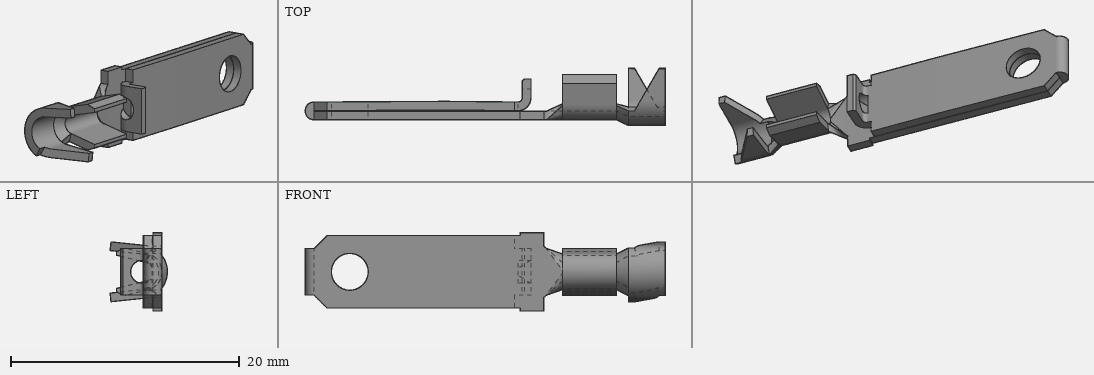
import cadquery as cq
import math

sheet = 0.78
layer_gap = 0.02
total_length = 31.5

blade_width = 6.35
tip_width = 4.08
shoulder_width = 6.86
shoulder_start_x = 18.8
shoulder_end_x = 20.88
back_end_x = 18.32
bow_x = 12.3
bow_gap = 0.08
fold_radius = sheet + layer_gap / 2
tip_chamfer = (blade_width - tip_width) / 2
tip_outline = [
    (fold_radius, tip_width / 2),
    (fold_radius + tip_chamfer, blade_width / 2),
]
hole_diameter = 3.2
hole_x = 3.91

lip_width = tip_width
lip_outer_x = 19.75
lip_tip_y = 3.6
lip_inner_radius = 0.36
lip_tip_chamfer = 0.2
lip_hole_radius = 1.0
lip_hole_y = 1.72

neck_end_x = 21.1
neck_start_width = 4.5
neck_end_width = 4.1
fold_corner = 0.04
crease_gap = 0.3

wire_start_x = 22.49
wire_end_x = 27.23
wire_radius = 1.62
wire_flare = 13.8
wire_center_y = wire_radius
wire_tip_y = 3.98
wire_bevel_y = 3.2
wire_tip_flat = 0.33

grip_start_x = 28.26
grip_radius = 2.34
grip_bottom_y = -0.49
grip_center_y = grip_bottom_y + grip_radius
grip_flare = 6.0
grip_tip_y = 4.54
grip_tip_drop = sheet * math.sin(math.radians(grip_flare))
grip_cut_angle = 26.7
grip_tip_length = 0.54


def polar(center_y, radius, below):
    """(z, y) of the point on a barrel circle that lies 'below' degrees under the +Z axis."""
    angle = math.radians(below)
    return radius * math.cos(angle), center_y - radius * math.sin(angle)


def mirrored(point):
    return -point[0], point[1]


def section(x):
    """Workplane across the terminal at x, with local axes (Z, Y)."""
    return cq.Workplane(cq.Plane(origin=(x, 0, 0), xDir=(0, 0, 1), normal=(-1, 0, 0)))


def trough_outline(x, center_y, radius, end_angle):
    """Section at x of a barrel wall whose ends lie end_angle degrees under the +Z axis."""
    inner_radius = radius - sheet
    outer_end = polar(center_y, radius, end_angle)
    inner_end = polar(center_y, inner_radius, end_angle)
    return (
        section(x)
        .moveTo(*outer_end)
        .threePointArc(polar(center_y, radius, 90), mirrored(outer_end))
        .lineTo(*mirrored(inner_end))
        .threePointArc(polar(center_y, inner_radius, 90), inner_end)
        .close()
    )


def plate(points, thickness):
    """Plate from its half outline in (x, z), reaching from Y = 0 toward +Y."""
    other_half = [(x, -z) for x, z in reversed(points)]
    return cq.Workplane("XZ").polyline(points + other_half).close().extrude(-thickness)


def front_layer():
    outline = [
        *tip_outline,
        (shoulder_start_x, blade_width / 2),
        (shoulder_start_x, shoulder_width / 2),
        (shoulder_end_x, shoulder_width / 2),
    ]
    return plate(outline, sheet)


def tip_fold():
    roll = (
        cq.Workplane("XY", origin=(fold_radius, fold_radius, -tip_width / 2))
        .circle(fold_radius)
        .circle(layer_gap / 2)
        .extrude(tip_width)
    )
    tip_side = cq.Workplane("XY").box(
        fold_radius, 2 * fold_radius, tip_width, centered=(False, False, True)
    )
    return roll.intersect(tip_side)


def back_layer():
    """Layer bowed slightly away from the front one, ending in a lip turned up toward +Y."""
    inner_y = sheet + layer_gap
    outer_y = inner_y + sheet
    bow_inner_y = sheet + bow_gap
    lip_outer_radius = lip_inner_radius + sheet
    lip_inner_x = lip_outer_x - sheet
    bend_x = lip_outer_x - lip_outer_radius
    bend_y = inner_y + lip_outer_radius
    outer_offset = lip_outer_radius * math.sqrt(0.5)
    inner_offset = lip_inner_radius * math.sqrt(0.5)
    strip = (
        cq.Workplane("XY", origin=(0, 0, -blade_width / 2))
        .moveTo(fold_radius, inner_y)
        .lineTo(bow_x, bow_inner_y)
        .lineTo(bend_x, inner_y)
        .threePointArc((bend_x + outer_offset, bend_y - outer_offset), (lip_outer_x, bend_y))
        .lineTo(lip_outer_x, lip_tip_y)
        .lineTo(lip_inner_x + lip_tip_chamfer, lip_tip_y)
        .lineTo(lip_inner_x, lip_tip_y - lip_tip_chamfer)
        .lineTo(lip_inner_x, bend_y)
        .threePointArc((bend_x + inner_offset, bend_y - inner_offset), (bend_x, outer_y))
        .lineTo(bow_x, bow_inner_y + sheet)
        .lineTo(fold_radius, outer_y)
        .close()
        .extrude(blade_width)
    )
    outline = [
        *tip_outline,
        (back_end_x, blade_width / 2),
        (back_end_x, lip_width / 2),
        (lip_outer_x, lip_width / 2),
    ]
    lip_hole = section(lip_outer_x).center(0, lip_hole_y).circle(lip_hole_radius).extrude(lip_outer_radius)
    return strip.intersect(plate(outline, lip_tip_y)).cut(lip_hole)


def blade():
    hole = cq.Workplane("XZ", origin=(hole_x, 0, 0)).circle(hole_diameter / 2).extrude(-lip_tip_y)
    return front_layer().union(tip_fold()).union(back_layer()).cut(hole)


def creased_trough_outline():
    """Start section of the wire barrel, with each arc broken by a short flat where the creases meet."""
    inner_radius = wire_radius - sheet
    outer_half_angle = math.degrees(math.asin(crease_gap / 2 / wire_radius))
    inner_half_angle = math.degrees(math.asin(crease_gap / 2 / inner_radius))
    mid_angle = (90 + wire_flare) / 2
    outer_end = polar(wire_center_y, wire_radius, wire_flare)
    outer_mid = polar(wire_center_y, wire_radius, mid_angle)
    outer_floor = polar(wire_center_y, wire_radius, 90 - outer_half_angle)
    inner_end = polar(wire_center_y, inner_radius, wire_flare)
    inner_mid = polar(wire_center_y, inner_radius, mid_angle)
    inner_floor = polar(wire_center_y, inner_radius, 90 - inner_half_angle)
    return (
        section(wire_start_x)
        .moveTo(*outer_end)
        .threePointArc(outer_mid, outer_floor)
        .lineTo(*mirrored(outer_floor))
        .threePointArc(mirrored(outer_mid), mirrored(outer_end))
        .lineTo(*mirrored(inner_end))
        .threePointArc(mirrored(inner_mid), mirrored(inner_floor))
        .lineTo(*inner_floor)
        .threePointArc(inner_mid, inner_end)
        .close()
    )


def ruled_loft(start, end):
    return cq.Workplane(cq.Solid.makeLoft([start.wires().val(), end.wires().val()], True))


def neck():
    """Flat tapering tongue, then the creased folds that lead the flat sheet into the wire barrel."""
    half = neck_end_width / 2
    tongue = plate([(shoulder_end_x, neck_start_width / 2), (neck_end_x, half)], sheet)
    crease = half - fold_corner
    flat_end = (
        section(neck_end_x)
        .moveTo(half, 0)
        .lineTo(crease, 0)
        .lineTo(-crease, 0)
        .lineTo(-half, 0)
        .lineTo(-half, sheet)
        .lineTo(-crease, sheet)
        .lineTo(crease, sheet)
        .lineTo(half, sheet)
        .close()
    )
    return tongue.union(ruled_loft(flat_end, creased_trough_outline()))


def along_flare(start, flare, y):
    """Point at height y on the straight wall that leaves the barrel circle at start."""
    return start[0] + (y - start[1]) * math.tan(math.radians(flare)), y


def wire_barrel():
    inner_radius = wire_radius - sheet
    outer_start = polar(wire_center_y, wire_radius, wire_flare)
    inner_start = polar(wire_center_y, inner_radius, wire_flare)
    bevel = along_flare(outer_start, wire_flare, wire_bevel_y)
    inner_tip = along_flare(inner_start, wire_flare, wire_tip_y)
    outer_tip = (inner_tip[0] + wire_tip_flat, wire_tip_y)
    return (
        section(wire_start_x)
        .moveTo(*outer_start)
        .threePointArc((0, 0), mirrored(outer_start))
        .lineTo(*mirrored(bevel))
        .lineTo(*mirrored(outer_tip))
        .lineTo(*mirrored(inner_tip))
        .lineTo(*mirrored(inner_start))
        .threePointArc((0, sheet), inner_start)
        .lineTo(*inner_tip)
        .lineTo(*outer_tip)
        .lineTo(*bevel)
        .close()
        .extrude(wire_start_x - wire_end_x)
    )


def barrel_transition():
    return ruled_loft(
        trough_outline(wire_end_x, wire_center_y, wire_radius, wire_flare),
        trough_outline(grip_start_x, grip_center_y, grip_radius, grip_cut_angle),
    )


def grip_relief():
    """Space to clear on the +Z side, above a radial cut, so that only the pointed arm is left."""
    cut_outer = polar(grip_center_y, grip_radius, grip_cut_angle)
    beyond_wall = polar(grip_center_y, 2 * grip_radius, grip_cut_angle)
    above_tip = 2 * grip_tip_y
    open_side = (
        section(grip_start_x)
        .polyline([(0, grip_center_y), beyond_wall, (beyond_wall[0], above_tip), (0, above_tip)])
        .close()
        .extrude(grip_start_x - total_length)
    )
    arm_tip_x = total_length - grip_tip_length
    arm_root = (grip_start_x + grip_tip_length, cut_outer[1])
    arm_tip = (arm_tip_x, grip_tip_y)
    rise_per_length = (arm_tip[1] - arm_root[1]) / (arm_tip[0] - arm_root[0])
    end_above = (total_length, arm_tip[1])
    below_root = (arm_root[0] - arm_root[1] / rise_per_length, 0)
    arm = (
        cq.Workplane("XY")
        .polyline([below_root, arm_tip, end_above, (total_length, 0)])
        .close()
        .extrude(shoulder_width)
    )
    return open_side.cut(arm)


def insulation_barrel():
    """Open trough with two pointed arms that face each other from opposite ends."""
    inner_radius = grip_radius - sheet
    outer_start = polar(grip_center_y, grip_radius, grip_flare)
    inner_start = polar(grip_center_y, inner_radius, grip_flare)
    inner_tip = along_flare(inner_start, grip_flare, grip_tip_y)
    outer_tip = along_flare(outer_start, grip_flare, grip_tip_y - grip_tip_drop)
    trough = (
        section(grip_start_x)
        .moveTo(*outer_start)
        .threePointArc((0, grip_bottom_y), mirrored(outer_start))
        .lineTo(*mirrored(outer_tip))
        .lineTo(*mirrored(inner_tip))
        .lineTo(*mirrored(inner_start))
        .threePointArc((0, grip_bottom_y + sheet), inner_start)
        .lineTo(*inner_tip)
        .lineTo(*outer_tip)
        .close()
        .extrude(grip_start_x - total_length)
    )
    relief = grip_relief()
    middle_x = (grip_start_x + total_length) / 2
    opposite_relief = relief.rotate((middle_x, 0, 0), (middle_x, 1, 0), 180)
    return trough.cut(relief).cut(opposite_relief)


result = (
    blade()
    .union(neck())
    .union(wire_barrel())
    .union(barrel_transition())
    .union(insulation_barrel())
)